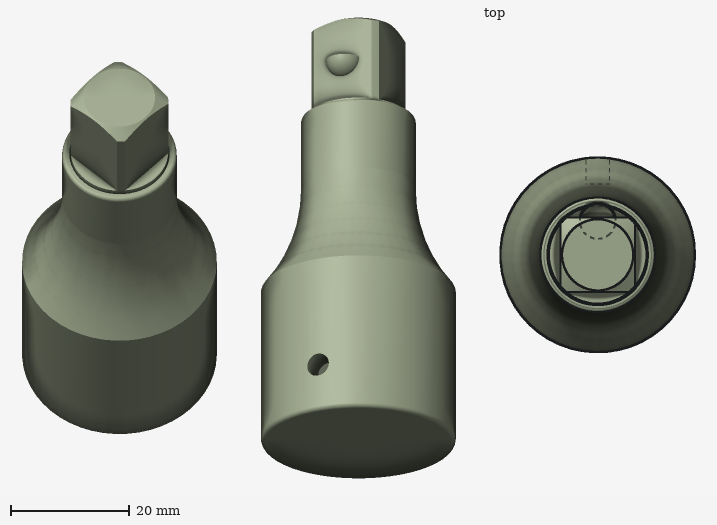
import cadquery as cq

total_height = 75.3
body_top = 27.6
neck_bottom = 46.45
sleeve_top = 59.1
shoulder_top = 59.8

body_radius = 16.5
neck_radius = 9.7
bottom_rounding = 0.75
top_rounding = 0.6
bore_depth = 7.5
bore_floor = sleeve_top - bore_depth

cross_hole_diameter = 4.0
cross_hole_height = 8.3
cross_hole_depth = 4.5

shank_radius = 8.3
shank_clearance = 0.2
bore_radius = shank_radius + shank_clearance
square_side = 12.65
tip_radius = 6.0
tip_chamfer_height = 1.2

detent_radius = 3.1
detent_wall = 0.15
detent_y = 5.7
detent_top = 67.8


def flare_arc_midpoint():
    """Middle of the concave flare arc, which is tangent to the vertical neck."""
    run = body_radius - neck_radius
    drop = neck_bottom - body_top
    arc_radius = (run**2 + drop**2) / (2 * run)
    center_x = neck_radius + arc_radius
    direction = cq.Vector(-arc_radius, 0) + cq.Vector(run - arc_radius, -drop)
    midpoint = cq.Vector(center_x, neck_bottom) + direction.normalized() * arc_radius
    return midpoint.x, midpoint.y


def make_sleeve():
    """Flared sleeve with a blind bore for the drive and a blind cross hole."""
    sleeve = (
        cq.Workplane("XZ")
        .lineTo(body_radius, 0)
        .lineTo(body_radius, body_top)
        .threePointArc(flare_arc_midpoint(), (neck_radius, neck_bottom))
        .lineTo(neck_radius, sleeve_top)
        .lineTo(0, sleeve_top)
        .close()
        .revolve(360, (0, 0), (0, 1))
    )
    sleeve = sleeve.faces("<Z").edges().fillet(bottom_rounding)
    sleeve = sleeve.faces(">Z").edges().fillet(top_rounding)
    bore = cq.Workplane("XY", origin=(0, 0, bore_floor)).circle(bore_radius).extrude(bore_depth)
    cross_hole = (
        cq.Workplane("XZ", origin=(0, body_radius, cross_hole_height))
        .circle(cross_hole_diameter / 2)
        .extrude(cross_hole_depth)
    )
    return sleeve.cut(bore).cut(cross_hole)


def make_detent():
    """Thin bowl, the lower half of a hollow ball, partly sunk into the square."""
    inner_radius = detent_radius - detent_wall
    return (
        cq.Workplane("XZ", origin=(0, detent_y, detent_top))
        .moveTo(0, -detent_radius)
        .radiusArc((detent_radius, 0), -detent_radius)
        .lineTo(inner_radius, 0)
        .radiusArc((0, -inner_radius), inner_radius)
        .close()
        .revolve(360, (0, 0), (0, 1))
    )


def make_drive(detent):
    """Round shank standing on the bore floor, milled square above its shoulder."""
    blank = (
        cq.Workplane("XZ")
        .moveTo(0, bore_floor)
        .lineTo(shank_radius, bore_floor)
        .lineTo(shank_radius, total_height - tip_chamfer_height)
        .lineTo(tip_radius, total_height)
        .lineTo(0, total_height)
        .close()
        .revolve(360, (0, 0), (0, 1))
    )
    milled_waste = (
        cq.Workplane("XY", origin=(0, 0, shoulder_top))
        .circle(2 * shank_radius)
        .rect(square_side, square_side)
        .extrude(total_height - shoulder_top)
    )
    return blank.cut(milled_waste).cut(detent)


sleeve = make_sleeve()
detent = make_detent()
drive = make_drive(detent)

result = cq.Compound.makeCompound([sleeve.val(), drive.val(), detent.val()])